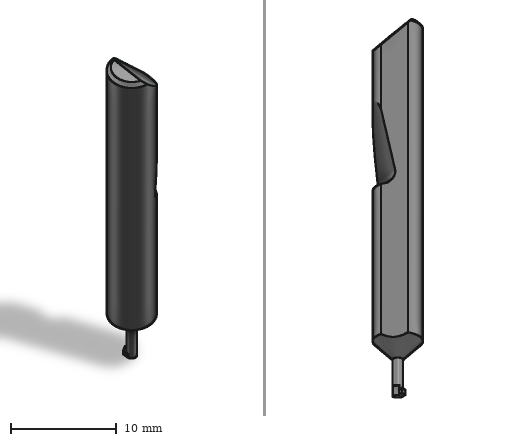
import cadquery as cq
import math

shank_diameter = 4.76
shank_radius = shank_diameter / 2
overall_length = 38.1
top_chamfer = 0.4

neck_diameter = 1.0
neck_radius = neck_diameter / 2
shank_bottom_z = 5.68
cone_height = shank_radius - neck_radius
neck_top_z = shank_bottom_z - cone_height

flat_angle = 145
flat_distance = 2.0

bevel_start_y = -0.55

notch_floor_z = 21.06
notch_top_z = 29.75
notch_slope = 10
notch_corner_radius = 1.2

cutting_face_y = 0.05
head_reach = 1.0
head_heel_x = -0.65
head_end_x = 0.08
head_top_z = 0.53
end_relief_angle = 4
side_relief_angle = 2

clearance_top_z = 1.0
clearance_distance = 0.3

overcut = 1.0


def make_bar():
    """Shank, cone and neck turned about Z."""
    half_profile = [
        (0, 0),
        (neck_radius, 0),
        (neck_radius, neck_top_z),
        (shank_radius, shank_bottom_z),
        (shank_radius, overall_length - top_chamfer),
        (shank_radius - top_chamfer, overall_length),
        (0, overall_length),
    ]
    return cq.Workplane("XZ").polyline(half_profile).close().revolve(360, (0, 0, 0), (0, 1, 0))


def make_shank_flat_cutter():
    """Block lying beyond the long flat on the shank."""
    block = cq.Workplane("XY").box(
        shank_diameter, 2 * shank_diameter, overall_length, centered=(False, True, False)
    )
    return block.translate((flat_distance, 0, 0)).rotate((0, 0, 0), (0, 0, 1), flat_angle)


def make_top_bevel_cutter():
    """Wedge above the 45 degree bevel."""
    end_y = shank_radius + overcut
    bevel_drop = end_y - bevel_start_y
    wedge = [
        (bevel_start_y, overall_length),
        (end_y, overall_length),
        (end_y, overall_length - bevel_drop),
    ]
    return cq.Workplane("YZ").polyline(wedge).close().extrude(shank_radius + overcut, both=True)


def make_notch_cutter():
    """Clamping notch, running through the shank along X."""
    slope = math.tan(math.radians(notch_slope))
    outer_y = shank_radius + overcut
    corner_y = shank_radius - (notch_top_z - notch_floor_z) * slope
    outline = [
        (corner_y, notch_floor_z),
        (outer_y, notch_floor_z),
        (outer_y, notch_top_z + overcut / slope),
    ]
    prism = cq.Workplane("YZ").polyline(outline).close().extrude(shank_radius + overcut, both=True)
    return prism.edges("|X").edges("<Y").fillet(notch_corner_radius)


def make_clearance_cutter():
    """Chip clearance, square at its upper end, parallel to the shank flat."""
    outer = clearance_distance + overcut
    outline = [
        (clearance_distance, -overcut),
        (outer, -overcut),
        (outer, clearance_top_z),
        (clearance_distance, clearance_top_z),
    ]
    prism = cq.Workplane("XZ").polyline(outline).close().extrude(neck_diameter, both=True)
    prism = prism.rotate((0, 0, 0), (0, 0, 1), flat_angle)
    behind_cutting_face = cq.Workplane("XY").box(
        4 * overcut, 2 * overcut, 4 * overcut, centered=(True, False, True)
    )
    return prism.intersect(behind_cutting_face.translate((0, cutting_face_y, 0)))


def make_head():
    """Cutting head, its front face tangent to the neck."""
    outline = [
        (-head_reach, cutting_face_y),
        (head_heel_x, -neck_radius),
        (head_end_x, -neck_radius),
        (head_end_x, cutting_face_y),
    ]
    return cq.Workplane("XY").polyline(outline).close().extrude(head_top_z)


def make_end_relief_cutter():
    """Block below the end face, tilted to rise from the cutting corner towards +X and -Y."""
    side = 4 * overcut
    block = cq.Workplane("XY").box(side, side, overcut, centered=(True, True, False))
    block = block.translate((0, 0, -overcut))
    block = block.rotate((0, 0, 0), (1, 0, 0), -side_relief_angle)
    block = block.rotate((0, 0, 0), (0, 1, 0), -end_relief_angle)
    return block.translate((-head_reach, cutting_face_y, 0))


result = (
    make_bar()
    .cut(make_shank_flat_cutter())
    .cut(make_top_bevel_cutter())
    .cut(make_notch_cutter())
    .cut(make_clearance_cutter())
    .union(make_head())
    .cut(make_end_relief_cutter())
)